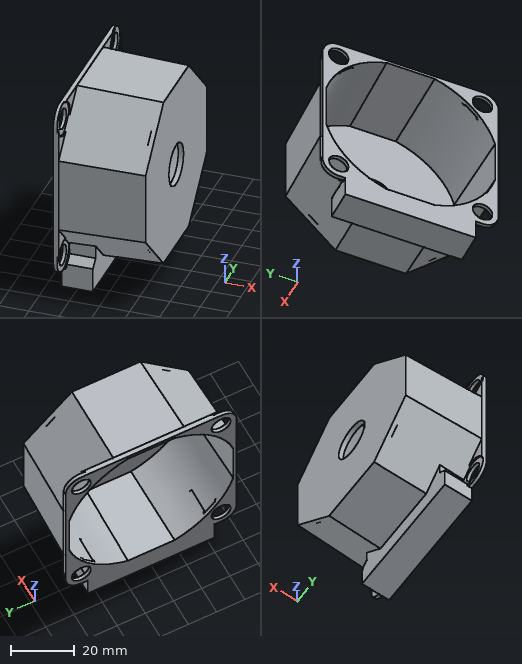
import cadquery as cq
import math

flange_width = 60.6
flange_thickness = 1.8
total_length = 30.4
end_wall = 1.8
cavity_depth = total_length - end_wall

hole_offset = 24.8
hole_diameter = 6.75
corner_radius = flange_width / 2 - hole_offset
relief_radius = 5.6
relief_depth = 0.5

outer_mouth_apothem = flange_width / 2
outer_end_apothem = 29.35

cavity_mouth_radius = 30.25
cavity_end_radius = 29.15
cavity_mouth_flat = 29.1
cavity_end_flat = 28.05
bore_diameter = 14.0

block_width = 44.95
block_length = 10.5
block_bottom = -37.8
block_shoulder = -29.4
block_neck_inset = 2.65
block_shoulder_rise = 2.45


def tapered_polygon(sides, mouth_apothem, end_apothem, length):
    """Loft a regular polygon with flats square to Y and Z along X."""
    sections = []
    for x, apothem in ((0, mouth_apothem), (length, end_apothem)):
        radius = apothem / math.cos(math.pi / sides)
        points = []
        for i in range(sides):
            angle = (2 * i + 1) * math.pi / sides
            points.append(cq.Vector(x, radius * math.cos(angle), radius * math.sin(angle)))
        sections.append(cq.Wire.makePolygon(points, close=True))
    return cq.Workplane(cq.Solid.makeLoft(sections, True))


def at_mounting_holes(x):
    spacing = 2 * hole_offset
    return cq.Workplane("YZ", origin=(x, 0, 0)).rect(spacing, spacing, forConstruction=True).vertices()


def make_flange():
    plate = cq.Workplane("YZ").rect(flange_width, flange_width).extrude(flange_thickness)
    return plate.edges("|X").fillet(corner_radius)


def make_block():
    """Connector block, narrowed above its shoulders to clear the mounting holes."""
    half_width = block_width / 2
    neck = half_width - block_neck_inset
    outline = [
        (-half_width, block_bottom),
        (half_width, block_bottom),
        (half_width, block_shoulder),
        (neck, block_shoulder + block_shoulder_rise),
        (neck, 0),
        (-neck, 0),
        (-neck, block_shoulder + block_shoulder_rise),
        (-half_width, block_shoulder),
    ]
    return cq.Workplane("YZ").polyline(outline).close().extrude(block_length)


def make_cavity():
    """Tapered round pocket with four flats."""
    cone = cq.Workplane(
        cq.Solid.makeCone(
            cavity_mouth_radius, cavity_end_radius, cavity_depth, cq.Vector(0, 0, 0), cq.Vector(1, 0, 0)
        )
    )
    return cone.intersect(tapered_polygon(4, cavity_mouth_flat, cavity_end_flat, cavity_depth))


base = make_flange().union(make_block())
reliefs = at_mounting_holes(flange_thickness - relief_depth).circle(relief_radius).extrude(relief_depth)
base = base.cut(reliefs)

housing = tapered_polygon(8, outer_mouth_apothem, outer_end_apothem, total_length)
body = base.union(housing).cut(make_cavity())

mounting_holes = at_mounting_holes(0).circle(hole_diameter / 2).extrude(flange_thickness)
bore = cq.Workplane("YZ").circle(bore_diameter / 2).extrude(total_length)
result = body.cut(mounting_holes).cut(bore)